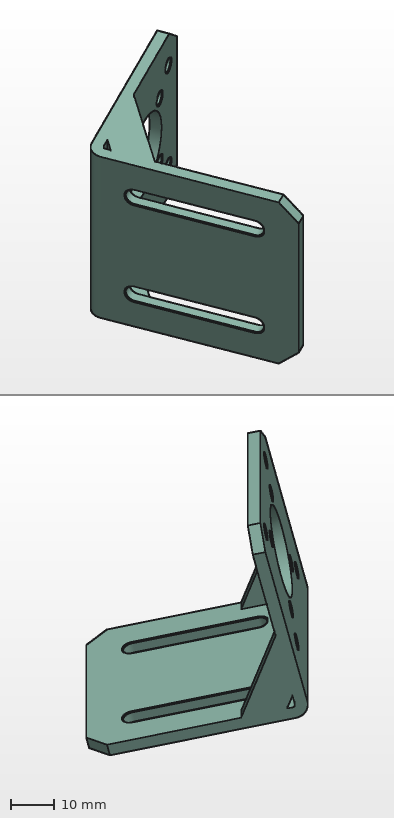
import cadquery as cq

length_x = 53.0
length_y = 50.95
height = 50.0
thickness = 3.0
bend_outer_radius = 3.75
bend_inner_radius = bend_outer_radius - thickness
corner_chamfer = 5.0

gusset_leg_x = 13.0
gusset_leg_y = 20.0
gusset_thickness = thickness
relief_leg_x = 2.0
relief_leg_y = relief_leg_x * gusset_leg_y / gusset_leg_x

slot_center_x = 27.0
slot_center_distance = 30.0
slot_width = 4.35
slot_spacing_z = 30.0

bore_center_y = 30.0
bore_diameter = 22.05
screw_hole_diameter = 3.5
inner_hole_pitch = 19.8
outer_hole_pitch = 31.0

edge_break = 0.25
flare_angle = 45


def rounded_block(corner, radius):
    """Full-size block starting at X = Y = corner, with that vertical edge rounded."""
    return (
        cq.Workplane("XY", origin=(corner, corner, -height / 2))
        .rect(length_x, length_y, centered=False)
        .extrude(height)
        .edges("|Z and <X and <Y")
        .fillet(radius)
    )


def angle_plate():
    """Two perpendicular flanges with a rounded bend and chamfered free corners."""
    plate = rounded_block(0, bend_outer_radius).cut(rounded_block(thickness, bend_inner_radius))
    plate = plate.faces(">X").edges("|Y").chamfer(corner_chamfer)
    return plate.faces(">Y").edges("|X").chamfer(corner_chamfer)


def gusset(bottom_z):
    """Triangular web with a small triangular relief opening next to the bend."""
    return (
        cq.Workplane("XY", origin=(thickness, thickness, bottom_z))
        .polyline([(relief_leg_x, 0), (gusset_leg_x, 0), (0, gusset_leg_y), (0, relief_leg_y)])
        .close()
        .extrude(gusset_thickness)
    )


def hole_pattern(pitch):
    """Corner points, in Y and Z, of a square hole pattern around the bore."""
    return [
        (bore_center_y + side_y * pitch / 2, side_z * pitch / 2)
        for side_y in (-1, 1)
        for side_z in (-1, 1)
    ]


def screw_hole_cutter(center):
    """Through cutter along X that flares at both faces to break the hole rims."""
    radius = screw_hole_diameter / 2
    flared_radius = radius + edge_break
    profile = (
        cq.Workplane("XY")
        .polyline(
            [
                (0, 0),
                (0, flared_radius),
                (edge_break, radius),
                (thickness - edge_break, radius),
                (thickness, flared_radius),
                (thickness, 0),
            ]
        )
        .close()
    )
    return profile.revolve(360, (0, 0, 0), (1, 0, 0)).translate((0, *center))


def slot_cutter(center_z):
    """Through cutter along Y that flares at both faces to break the slot rims."""
    flared_width = slot_width + 2 * edge_break

    length = slot_center_distance + slot_width
    flared_length = slot_center_distance + flared_width
    origin = (slot_center_x, 0, center_z)
    cutter = cq.Workplane("XZ", origin=origin).slot2D(length, slot_width).extrude(-thickness)
    front_flare = (
        cq.Workplane("XZ", origin=origin)
        .slot2D(flared_length, flared_width)
        .extrude(-edge_break, taper=flare_angle)
    )
    back_flare = front_flare.mirror("XZ").translate((0, thickness, 0))
    return cutter.union(front_flare).union(back_flare)


result = angle_plate()
for bottom_z in (-height / 2, height / 2 - gusset_thickness):
    result = result.union(gusset(bottom_z))

for center_z in (-slot_spacing_z / 2, slot_spacing_z / 2):
    result = result.cut(slot_cutter(center_z))

bore = cq.Workplane("YZ", origin=(0, bore_center_y, 0)).circle(bore_diameter / 2).extrude(thickness)
result = result.cut(bore)
for pitch in (inner_hole_pitch, outer_hole_pitch):
    for center in hole_pattern(pitch):
        result = result.cut(screw_hole_cutter(center))